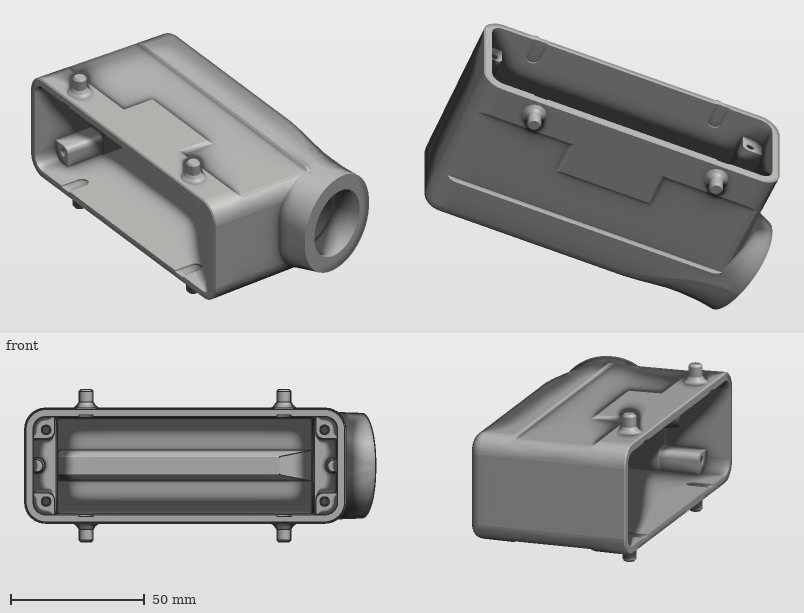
import cadquery as cq
import math


BODY_LENGTH = 120.2
BODY_WIDTH = 43.1
BODY_HEIGHT = 62.3
BODY_DRAFT = 0.9
BODY_CORNER = 7.9
ROOF_FILLET = 3.8
MOUTH_CHAMFER = 0.5
BODY_MID_X = BODY_LENGTH / 2

WALL = 3.2
CAVITY_LENGTH = BODY_LENGTH - 2 * WALL
CAVITY_WIDTH = BODY_WIDTH - 2 * WALL
CAVITY_CORNER = BODY_CORNER - WALL
CAVITY_DRAFT = 0.6
LEDGE_Y = 25.6
LEDGE_FILLET = 1.0
POCKET_Y = 58.6
POCKET_END_INSET = 11.2
POCKET_END_SLOPE = 1.5
POCKET_FLOOR_FILLET = 0.5
POCKET_SIDE_SLOPE = POCKET_Y * math.tan(math.radians(CAVITY_DRAFT))
POCKET_LENGTH = BODY_LENGTH - 2 * POCKET_END_INSET

RIDGE_HEIGHT = 4.0
RIDGE_ROOT_WIDTH = 11.5
RIDGE_CREST_WIDTH = 6.8
RIDGE_RAMP_LENGTH = 12.2
RIDGE_CREST_FILLET = 0.5

BOSS_Y = 9.3
BOSS_INNER_Z = 10.2
BOSS_CORNER = 2.5
SCREW_INSET = 8.0
SCREW_Z = 13.4
SCREW_HOLE_DIAMETER = 2.8
SCREW_COUNTERSINK_DIAMETER = 3.5
SCREW_HOLE_DEPTH = 13.1
STUD_Y = 18.9
STUD_RADIUS = 3.0
STUD_TIP_RADIUS = 2.2
STUD_INSET = 4.6

RECESS_WIDTH = 5.3
RECESS_DEPTH = 0.5
RECESS_REACH = 10.0

PIN_X = (23.0, 97.0)
PIN_Y = 6.5
PIN_TIP_Z = 28.5
PIN_RADIUS = 2.6
PIN_TIP_RADIUS = 2.0
PIN_TIP_CHAMFER = 0.8
PIN_COLLAR_RADIUS = 3.4
PIN_ROOT_RADIUS = 4.7
PIN_COLLAR_Z = 22.6
PIN_NECK_Z = 23.8
PIN_ROOT_Z = 21.4

PANEL_Z = 19.8
PANEL_BOTTOM_Y = 14.7
PANEL_TOP_Y = 45.2
PANEL_WALL_ANGLE = 48
PANEL_CUT_HEIGHT = 2.1
PANEL_EDGE_X = 5.3
PANEL_EDGE_ANGLE = 8
TAB_LEFT_X = 40.6
TAB_RIGHT_X = 79.5
TAB_BOTTOM_Y = 6.6
TAB_TOP_Y = 27.7

PORT_TILT = 16.1
PORT_HEIGHT = 38.1
PORT_TIP_X = 131.4
PORT_TOP_Y = 70.0
PORT_CENTER = (
    PORT_TIP_X - PORT_HEIGHT / 2 * math.sin(math.radians(PORT_TILT)),
    PORT_TOP_Y - PORT_HEIGHT / 2 * math.cos(math.radians(PORT_TILT)),
)
PORT_WIDTH = 39.2
PORT_CORNER = 18.7
PORT_NECK_LENGTH = 19.7
PORT_NECK_TOP_WIDTH = 41.0
PORT_NECK_BOTTOM_WIDTH = 39.7
PORT_NECK_CORNER = 11.8
PORT_BLEND_X = 82.8
PORT_BLEND_LEAD = 7.9
PORT_BLEND_BOTTOM_Y = 46.6
BORE_DIAMETER = 24.0
MOUTH_BORE_DIAMETER = 27.0
MOUTH_BORE_DEPTH = 11.8
BORE_OVERLAP = 13.1


def plane_at(y, x=0.0):
    """Plane facing +Y at height y, with local x along X."""
    return cq.Workplane(cq.Plane(origin=(x, y, 0), xDir=(1, 0, 0), normal=(0, 1, 0)))


def both_ends(shape):
    """A shape at the -X end together with its mirror image at the +X end."""
    return shape.union(shape.mirror("YZ", (BODY_MID_X, 0, 0)))


def both_sides(shape):
    """A shape on the +Z side together with its mirror image on the -Z side."""
    return shape.union(shape.mirror("XY"))


def make_body():
    """Drafted block with rounded upright corners, a rounded roof edge and a chamfered mouth."""
    block = plane_at(0, BODY_MID_X).sketch().rect(BODY_LENGTH, BODY_WIDTH).vertices()
    block = block.fillet(BODY_CORNER).finalize().extrude(BODY_HEIGHT, taper=BODY_DRAFT)
    return block.faces(">Y").edges().fillet(ROOF_FILLET).faces("<Y").edges().chamfer(MOUTH_CHAMFER)


def body_width_at(y):
    """Width of the drafted body at height y."""
    return BODY_WIDTH - 2 * y * math.tan(math.radians(BODY_DRAFT))


def box_beyond(x, y):
    """Large block that fills the space to the +X side of x and above y."""
    size = 2 * BODY_LENGTH
    return cq.Workplane("XY").box(size, size, size, centered=(False, False, True)).translate((x, y, 0))


def port_axis_point(distance):
    """Point on the port axis, measured inward from the port face."""
    angle = math.radians(PORT_TILT)
    return (PORT_CENTER[0] - distance * math.cos(angle), PORT_CENTER[1] - distance * math.sin(angle))


def section_wire(center, tilt, height, top_width, bottom_width, corner):
    """Rounded outline across the port, with its plane tilted upward by the given angle."""
    angle = math.radians(tilt)
    across = cq.Vector(-math.sin(angle), math.cos(angle), 0)
    plane = cq.Plane(center, xDir=across, normal=cq.Vector(math.cos(angle), math.sin(angle), 0))
    corners = [
        (height / 2, -top_width / 2),
        (height / 2, top_width / 2),
        (-height / 2, bottom_width / 2),
        (-height / 2, -bottom_width / 2),
    ]
    wire = cq.Workplane(plane).polyline(corners).close().val()
    return wire.fillet2D(corner, wire.Vertices())


def make_port():
    """Port that grows out of the drafted body and turns upward into a nearly round end."""
    blend_y = BODY_HEIGHT - PORT_HEIGHT / 2
    roof_width = body_width_at(BODY_HEIGHT)
    blend_bottom_width = body_width_at(BODY_HEIGHT - PORT_HEIGHT)
    blend_shape = (0, PORT_HEIGHT, roof_width, blend_bottom_width, ROOF_FILLET)
    neck_shape = (PORT_TILT, PORT_HEIGHT, PORT_NECK_TOP_WIDTH, PORT_NECK_BOTTOM_WIDTH, PORT_NECK_CORNER)
    end_shape = (PORT_TILT, PORT_HEIGHT, PORT_WIDTH, PORT_WIDTH, PORT_CORNER)
    sections = [
        section_wire((PORT_BLEND_X - PORT_BLEND_LEAD, blend_y), *blend_shape),
        section_wire((PORT_BLEND_X, blend_y), *blend_shape),
        section_wire(port_axis_point(PORT_NECK_LENGTH), *neck_shape),
        section_wire(PORT_CENTER, *end_shape),
    ]
    port = cq.Workplane(cq.Solid.makeLoft(sections))
    return port.intersect(box_beyond(PORT_BLEND_X, 0))


def make_port_bore():
    """Stepped round bore from the port face into the cavity."""
    angle = math.radians(PORT_TILT)
    inward = cq.Vector(-math.cos(angle), -math.sin(angle), 0)
    face = cq.Vector(*PORT_CENTER, 0)
    length = PORT_NECK_LENGTH + BORE_OVERLAP
    bore = cq.Solid.makeCylinder(BORE_DIAMETER / 2, length, face, inward)
    mouth = cq.Solid.makeCylinder(MOUTH_BORE_DIAMETER / 2, MOUTH_BORE_DEPTH, face, inward)
    stop_x = BODY_LENGTH - POCKET_END_INSET - POCKET_END_SLOPE
    return cq.Workplane(bore).union(cq.Workplane(mouth)).intersect(box_beyond(stop_x, 0))


def make_cavity():
    """Hollow of the hood: a wide mouth down to the ledges, then a narrower pocket."""
    mouth = plane_at(0, BODY_MID_X).sketch().rect(CAVITY_LENGTH, CAVITY_WIDTH).vertices()
    mouth = mouth.fillet(CAVITY_CORNER).finalize().extrude(LEDGE_Y, taper=CAVITY_DRAFT)
    mouth = mouth.cut(make_screw_bosses()).faces(">Y").edges().fillet(LEDGE_FILLET).cut(make_studs())
    pocket = plane_at(0, BODY_MID_X).rect(POCKET_LENGTH, CAVITY_WIDTH).workplane(offset=POCKET_Y)
    pocket = pocket.rect(POCKET_LENGTH - 2 * POCKET_END_SLOPE, CAVITY_WIDTH - 2 * POCKET_SIDE_SLOPE)
    pocket = pocket.loft().faces(">Y").edges().fillet(POCKET_FLOOR_FILLET)
    return mouth.union(pocket)


def make_ridge():
    """Trapezoidal ridge hanging from the roof, ramped down at the port end."""
    start = POCKET_END_INSET
    end = BODY_LENGTH - POCKET_END_INSET - POCKET_END_SLOPE
    crest_y = POCKET_Y - RIDGE_HEIGHT
    root = RIDGE_ROOT_WIDTH / 2
    crest = RIDGE_CREST_WIDTH / 2
    section = [(POCKET_Y, -root), (crest_y, -crest), (crest_y, crest), (POCKET_Y, root)]
    ridge = cq.Workplane("YZ", origin=(start, 0, 0)).polyline(section).close().extrude(end - start)
    ridge = ridge.faces("<Y").edges("|X").fillet(RIDGE_CREST_FILLET)
    ramp = [(end - RIDGE_RAMP_LENGTH, crest_y), (end, crest_y), (end, POCKET_Y)]
    return ridge.cut(cq.Workplane("XY").polyline(ramp).close().extrude(root, both=True))


def make_screw_bosses():
    """Four bosses that stand on the ledges in the corners of the cavity."""
    length = POCKET_END_INSET - WALL / 2
    width = BODY_WIDTH / 2 - WALL / 2 - BOSS_INNER_Z
    boss = cq.Workplane("XY").box(length, LEDGE_Y - BOSS_Y + LEDGE_FILLET, width, centered=False)
    boss = boss.translate((WALL / 2, BOSS_Y, BOSS_INNER_Z))
    boss = boss.edges(">X and <Z").fillet(BOSS_CORNER)
    return both_ends(both_sides(boss))


def make_screw_holes():
    """Countersunk blind holes in the mouth ends of the screw bosses."""
    radius = SCREW_HOLE_DIAMETER / 2
    rim = SCREW_COUNTERSINK_DIAMETER / 2
    profile = [(0, 0), (rim, 0), (radius, rim - radius), (radius, SCREW_HOLE_DEPTH), (0, SCREW_HOLE_DEPTH)]
    hole = cq.Workplane("XY").polyline(profile).close().revolve(360, (0, 0), (0, 1))
    return both_ends(both_sides(hole.translate((SCREW_INSET, BOSS_Y, SCREW_Z))))


def make_studs():
    """Tapered half-round studs on the ledges, against the end walls."""
    height = LEDGE_Y - STUD_Y
    base = cq.Vector(STUD_INSET, LEDGE_Y, 0)
    cone = cq.Solid.makeCone(STUD_RADIUS, STUD_TIP_RADIUS, height, base, cq.Vector(0, -1, 0))
    web = cq.Workplane("XY")
    web = web.box(STUD_INSET - WALL / 2, height, 2 * STUD_TIP_RADIUS, centered=(False, False, True))
    return both_ends(cq.Workplane(cone).union(web.translate((WALL / 2, STUD_Y, 0))))


def make_recess(plane):
    """Shallow slot with a round far end, open at the mouth."""
    radius = RECESS_WIDTH / 2
    straight = RECESS_REACH - radius
    outline = cq.Workplane(plane).moveTo(-radius, 0).lineTo(-radius, straight)
    outline = outline.threePointArc((0, RECESS_REACH), (radius, straight)).lineTo(radius, 0).close()
    return outline.extrude(RECESS_DEPTH + WALL)


def make_recesses():
    """Recesses behind each locking pin and in the middle of each end wall."""
    end_plane = cq.Plane(origin=(WALL - RECESS_DEPTH, 0, 0), xDir=(0, 0, 1), normal=(1, 0, 0))
    recesses = both_ends(make_recess(end_plane))
    for x in PIN_X:
        side_plane = cq.Plane(
            origin=(x, 0, CAVITY_WIDTH / 2 + RECESS_DEPTH), xDir=(-1, 0, 0), normal=(0, 0, -1)
        )
        recesses = recesses.union(both_sides(make_recess(side_plane)))
    return recesses


def make_pins():
    """Locking pins with a flared collar, standing on both long sides."""
    profile = [
        (0, PANEL_Z),
        (PIN_ROOT_RADIUS, PANEL_Z),
        (PIN_ROOT_RADIUS, PIN_ROOT_Z),
        (PIN_COLLAR_RADIUS, PIN_COLLAR_Z),
        (PIN_RADIUS, PIN_NECK_Z),
        (PIN_RADIUS, PIN_TIP_Z - PIN_TIP_CHAMFER),
        (PIN_TIP_RADIUS, PIN_TIP_Z),
        (0, PIN_TIP_Z),
    ]
    pin = cq.Workplane("XZ").polyline(profile).close().revolve(360, (0, 0), (0, 1))
    pins = cq.Workplane("XY")
    for x in PIN_X:
        pins = pins.union(both_sides(pin.translate((x, PIN_Y, 0))))
    return pins


def make_sloped_block(start_x, end_x, start_y, end_y, height, taper):
    """Rectangular block standing on the panel plane, with four sloped walls."""
    block = cq.Workplane("XY", origin=((start_x + end_x) / 2, (start_y + end_y) / 2, PANEL_Z))
    return block.rect(end_x - start_x, end_y - start_y).extrude(height, taper=taper)


def make_panels():
    """Flat sunken panels with sloped walls and a raised tab, open past both ends of the hood."""
    panel = make_sloped_block(0, PORT_TIP_X, PANEL_BOTTOM_Y, PANEL_TOP_Y, PANEL_CUT_HEIGHT, -PANEL_WALL_ANGLE)
    tab = make_sloped_block(
        TAB_LEFT_X, TAB_RIGHT_X, TAB_BOTTOM_Y, TAB_TOP_Y, 2 * PANEL_CUT_HEIGHT, PANEL_WALL_ANGLE
    )
    return both_sides(panel.cut(tab))


def make_panel_bevels():
    """Wedges that slope the panels down toward both ends of the hood."""
    drop = PANEL_EDGE_X * math.tan(math.radians(PANEL_EDGE_ANGLE))
    outline = [
        (PANEL_EDGE_X, PANEL_Z),
        (PANEL_EDGE_X, PANEL_Z + PANEL_CUT_HEIGHT),
        (0, PANEL_Z + PANEL_CUT_HEIGHT),
        (0, PANEL_Z - drop),
    ]
    wedge = cq.Workplane("XZ", origin=(0, PANEL_TOP_Y, 0)).polyline(outline).close()
    return both_ends(both_sides(wedge.extrude(PANEL_TOP_Y - PANEL_BOTTOM_Y)))


body = make_body().cut(make_panel_bevels()).cut(box_beyond(PORT_BLEND_X, PORT_BLEND_BOTTOM_Y))
shell = body.union(make_port()).cut(make_panels())
hollow = make_cavity().cut(make_ridge())
hollow = hollow.union(make_recesses()).union(make_screw_holes()).union(make_port_bore())
result = shell.cut(hollow).union(make_pins())